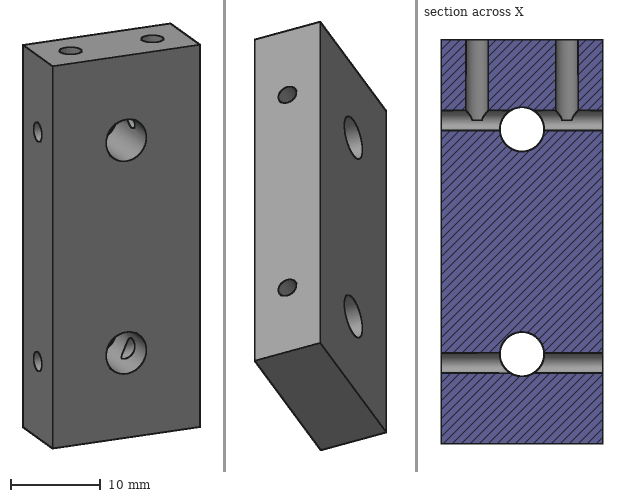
import cadquery as cq

width = 8.0
depth = 18.0
height = 45.0

mount_diameter = 4.9
mount_spacing = 25.0

cross_diameter = 2.2
cross_spacing = 27.0

top_diameter = 2.48
top_spacing = 10.0
top_depth = (height - cross_spacing) / 2


def drill_pair(body, face, spacing_x, spacing_y, diameter, hole_depth=None):
    """Drill two holes placed symmetrically about the centre of a face."""
    points = [(side * spacing_x / 2, side * spacing_y / 2) for side in (-1, 1)]
    plane = body.faces(face).workplane(origin=(0, 0, 0))
    return plane.pushPoints(points).hole(diameter, hole_depth)


result = cq.Workplane("XY").box(width, depth, height)
result = drill_pair(result, "<X", 0, mount_spacing, mount_diameter)
result = drill_pair(result, "<Y", 0, cross_spacing, cross_diameter)
result = drill_pair(result, ">Z", 0, top_spacing, top_diameter, top_depth)